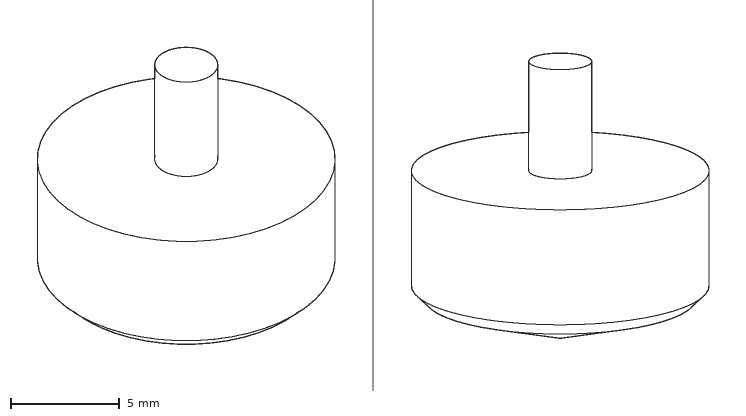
import cadquery as cq

total_height = 13.2
body_diameter = 13.7
pin_diameter = 2.9
pin_length = 5.2
chamfer = 0.6
cone_height = 1.92

body_radius = body_diameter / 2
pin_radius = pin_diameter / 2
cone_radius = body_radius - chamfer
body_bottom = cone_height + chamfer
body_top = total_height - pin_length

half_section = (
    cq.Workplane("XZ")
    .moveTo(0, 0)
    .lineTo(cone_radius, cone_height)
    .lineTo(body_radius, body_bottom)
    .lineTo(body_radius, body_top)
    .lineTo(pin_radius, body_top)
    .lineTo(pin_radius, total_height)
    .lineTo(0, total_height)
    .close()
)
result = half_section.revolve(360, (0, 0, 0), (0, 1, 0))